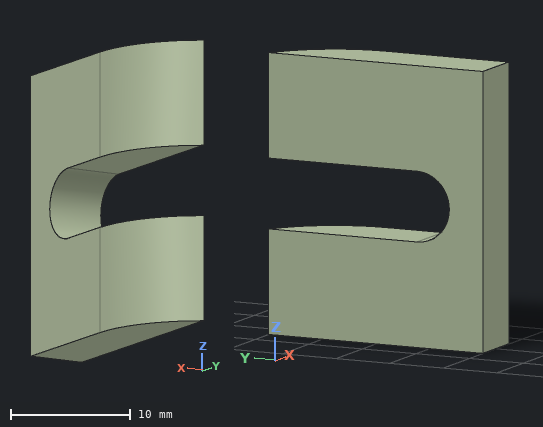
import cadquery as cq
import math

height = 24.0
length = 20.0
thickness = 5.0
nose_radius = 10.0
slot_width = 6.0
slot_depth = 16.85

arc_center_x = thickness - nose_radius
nose_length = math.sqrt(nose_radius**2 - arc_center_x**2)
arc_start_y = length - nose_length
half_sweep = math.acos(-arc_center_x / nose_radius) / 2
arc_middle = (
    arc_center_x + nose_radius * math.cos(half_sweep),
    arc_start_y + nose_radius * math.sin(half_sweep),
)
plate = (
    cq.Workplane("XY")
    .lineTo(thickness, 0)
    .lineTo(thickness, arc_start_y)
    .threePointArc(arc_middle, (0, length))
    .close()
    .extrude(height)
)

slot_radius = slot_width / 2
slot_center_y = length - slot_depth + slot_radius
slot_bottom = (height - slot_width) / 2
slot_top = slot_bottom + slot_width
slot = (
    cq.Workplane("YZ")
    .moveTo(length, slot_bottom)
    .lineTo(slot_center_y, slot_bottom)
    .threePointArc((length - slot_depth, height / 2), (slot_center_y, slot_top))
    .lineTo(length, slot_top)
    .close()
    .extrude(thickness)
)

result = plate.cut(slot)